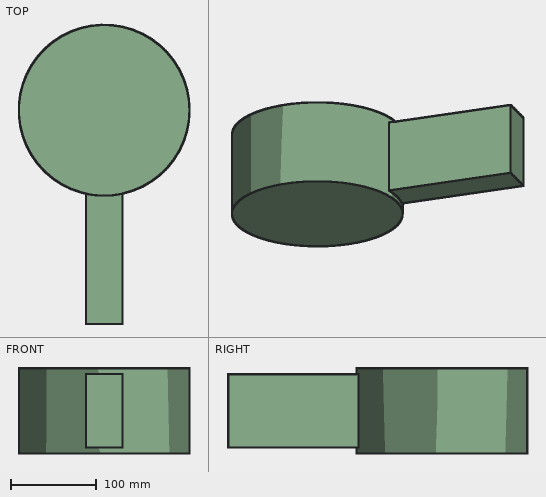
import cadquery as cq

body_diameter = 200.0
body_height = 100.0
body_radius = body_diameter / 2

overall_length = 350.0
handle_width = 43.0
handle_height = 86.0
handle_reach = overall_length - body_radius


def make_body():
    """Plain cylinder standing on the XY plane."""
    return cq.Workplane("XY").circle(body_radius).extrude(body_height)


def make_handle():
    """Straight bar starting at the body axis, so that it merges into the round side."""
    return (
        cq.Workplane("XZ")
        .center(0, body_height / 2)
        .rect(handle_width, handle_height)
        .extrude(handle_reach)
    )


result = make_body().union(make_handle())